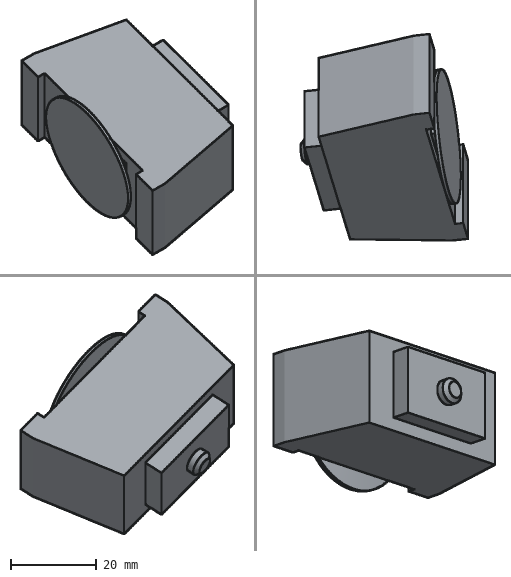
import cadquery as cq


HOUSING_WIDTH = 50.8
HOUSING_REAR_WIDTH = 41.35
HOUSING_HEIGHT = 22.95
HOUSING_DEPTH = 27.3
STRAIGHT_SIDE_DEPTH = 3.7
FOOT_WIDTH = 6.4
RECESS_DEPTH = 1.95

HEAD_DIAMETER = 31.75
HEAD_RIM_THICKNESS = 0.85
HEAD_CONE_END_DIAMETER = 17.25

BAR_WIDTH = 25.4
BAR_HEIGHT = 16.4
BAR_START = HEAD_RIM_THICKNESS
BAR_END = 32.1
PIN_DIAMETER = 6.1
PIN_END = 35.0
PIN_CHAMFER = 1.05


def make_bar():
    """Rectangular bar running through the block from the head rim out past the rear face."""
    return (
        cq.Workplane("XZ", origin=(0, BAR_START, 0))
        .rect(BAR_WIDTH, BAR_HEIGHT)
        .extrude(BAR_START - BAR_END)
    )


def make_block():
    """Tapered block with a front recess between two feet."""
    half_width = HOUSING_WIDTH / 2
    half_rear_width = HOUSING_REAR_WIDTH / 2
    half_recess = half_width - FOOT_WIDTH
    return (
        cq.Workplane("XY")
        .polyline(
            [
                (-half_width, 0),
                (-half_recess, 0),
                (-half_recess, RECESS_DEPTH),
                (half_recess, RECESS_DEPTH),
                (half_recess, 0),
                (half_width, 0),
                (half_width, STRAIGHT_SIDE_DEPTH),
                (half_rear_width, HOUSING_DEPTH),
                (-half_rear_width, HOUSING_DEPTH),
                (-half_width, STRAIGHT_SIDE_DEPTH),
            ]
        )
        .close()
        .extrude(HOUSING_HEIGHT / 2, both=True)
    )


def make_pin():
    """Round pin with a chamfered tip on the rear face of the bar."""
    return (
        cq.Workplane("XZ", origin=(0, BAR_END, 0))
        .circle(PIN_DIAMETER / 2)
        .extrude(BAR_END - PIN_END)
        .faces(">Y")
        .chamfer(PIN_CHAMFER)
    )


def make_head():
    """Round head whose back tapers from the rim to the floor of the recess."""
    rim_radius = HEAD_DIAMETER / 2
    return (
        cq.Workplane("XY")
        .polyline(
            [
                (0, 0),
                (rim_radius, 0),
                (rim_radius, HEAD_RIM_THICKNESS),
                (HEAD_CONE_END_DIAMETER / 2, RECESS_DEPTH),
                (0, RECESS_DEPTH),
            ]
        )
        .close()
        .revolve(360, (0, 0, 0), (0, 1, 0))
    )


def make_housing():
    """Block, bar and pin as one body, hollowed at the front where the head seats."""
    return make_block().union(make_bar()).union(make_pin()).cut(make_head())


housing = make_housing()
head = make_head()

result = cq.Compound.makeCompound([housing.val(), head.val()])